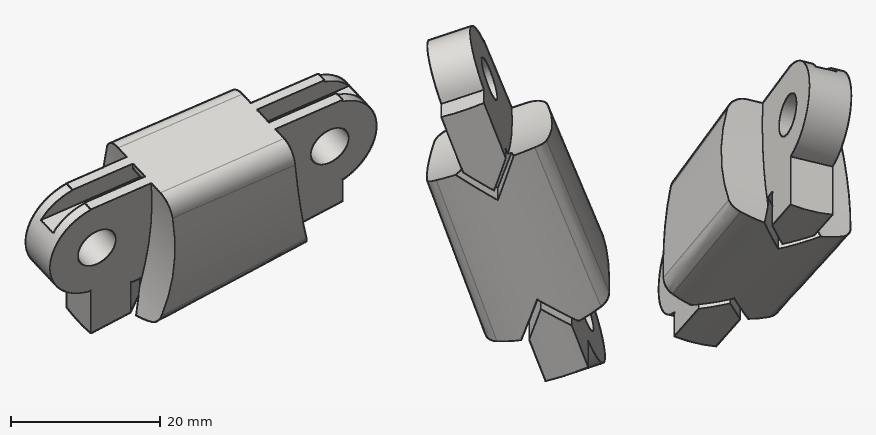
import cadquery as cq
import math

pivot_spacing = 37.0
ear_radius = 7.475
pivot_hole_diameter = 6.0
plate_width = 6.1
block_front_y = -19.45
block_back_y = 20.58
top_z = ear_radius

underside_angle = 5.9
crown_radius = 18.0
front_bottom_z = top_z - 22.97

waist_length = 19.5
top_corner_half_width = 7.6
side_arc_radius = 46.0
section_y = 15.0
front_half_width = 9.355
back_half_width = 8.82
top_edge_fillet = 3.0
bottom_edge_fillet = 2.5
flare_radius = 54.0
waist_z = 4.0

slot_width = 3.0
slot_depth = 3.0
slot_cover = 0.93

groove_roof_z = -9.1
groove_angle = 50.5
groove_span_y = 1.45
groove_half_width = 7.5
groove_front_y = -13.15
groove_back_y = 12.2

underside_reach_z = front_bottom_z - 3.0
trim_half_length = 50.0


def box_between(x_range, y_range, z_range):
    """Axis-aligned box given by its limits on each axis."""
    size = [high - low for low, high in (x_range, y_range, z_range)]
    corner = (x_range[0], y_range[0], z_range[0])
    return cq.Workplane("XY").box(*size, centered=False).translate(corner)


def underside_envelope():
    """Tilted cylinder whose lowest line is the crown of the underside."""
    tilt = math.radians(underside_angle)
    axis_z = front_bottom_z + crown_radius / math.cos(tilt)
    origin = (0, block_front_y, axis_z)
    along = (0, math.cos(tilt), math.sin(tilt))
    axis_plane = cq.Plane(origin=origin, xDir=(1, 0, 0), normal=along)
    return cq.Workplane(axis_plane).circle(crown_radius).extrude(trim_half_length, both=True)


def link_plate():
    """Straight block with a round ear at each pivot."""
    half = plate_width / 2
    plate = box_between((-half, half), (block_front_y, block_back_y), (underside_reach_z, top_z))
    plate = plate.intersect(underside_envelope())
    bridge = box_between((-half, half), (-pivot_spacing / 2, pivot_spacing / 2), (0, top_z))
    ears = (
        cq.Workplane("YZ")
        .pushPoints([(-pivot_spacing / 2, 0), (pivot_spacing / 2, 0)])
        .circle(ear_radius)
        .extrude(half, both=True)
    )
    return plate.union(bridge).union(ears)


def housing_section(y, half_width):
    """Cross-section wire with a flat top and bulging sides."""
    rise = math.sqrt(side_arc_radius**2 - (side_arc_radius - half_width + top_corner_half_width) ** 2)
    widest_z = top_z - rise
    drop = widest_z - underside_reach_z
    bottom_half_width = half_width - side_arc_radius + math.sqrt(side_arc_radius**2 - drop**2)
    section = (
        cq.Workplane(cq.Plane(origin=(0, y, 0), xDir=(1, 0, 0), normal=(0, -1, 0)))
        .moveTo(-top_corner_half_width, top_z)
        .lineTo(top_corner_half_width, top_z)
        .threePointArc((half_width, widest_z), (bottom_half_width, underside_reach_z))
        .lineTo(-bottom_half_width, underside_reach_z)
        .threePointArc((-half_width, widest_z), (-top_corner_half_width, top_z))
        .close()
    )
    return section.val()


def flare_half_length(z):
    """Half length of the housing at height z, on the end arc."""
    spread = flare_radius - math.sqrt(flare_radius**2 - (z - waist_z) ** 2)
    return waist_length / 2 + spread


def flare_profile():
    """Side outline of the housing: ends follow a shallow arc and spread toward the bottom."""
    top_half = flare_half_length(top_z)
    waist_half = flare_half_length(waist_z)
    bottom_half = flare_half_length(underside_reach_z)
    return (
        cq.Workplane("YZ")
        .moveTo(-top_half, top_z)
        .lineTo(top_half, top_z)
        .threePointArc((waist_half, waist_z), (bottom_half, underside_reach_z))
        .lineTo(-bottom_half, underside_reach_z)
        .threePointArc((-waist_half, waist_z), (-top_half, top_z))
        .close()
        .extrude(trim_half_length, both=True)
    )


def housing():
    """Tapered, rounded housing trimmed to its flared end outline."""
    front = housing_section(-section_y, front_half_width)
    back = housing_section(section_y, back_half_width)
    blank = cq.Workplane(cq.Solid.makeLoft([front, back], True))
    blank = blank.intersect(underside_envelope())
    blank = blank.faces(">Z").edges("not(<Y or >Y)").fillet(top_edge_fillet)
    blank = blank.faces("<Z").edges("not(<Y or >Y)").fillet(bottom_edge_fillet)
    return blank.intersect(flare_profile())


def lengthwise_slot():
    """Slot open on top of both ears and tunnelling under the top of the housing."""
    half = slot_width / 2
    ear_end = pivot_spacing / 2 + ear_radius
    floor_z = top_z - slot_depth
    cover_end = flare_half_length(top_z)
    slot = box_between((-half, half), (-ear_end, ear_end), (floor_z, top_z))
    cover = box_between(
        (-half, half),
        (-cover_end, cover_end),
        (top_z - slot_cover, top_z),
    )
    return slot.cut(cover)


def chevron_groove(mouth_y, inward):
    """V-shaped groove: its outer wall meets the plate side at mouth_y, its apex points inward."""
    reach = groove_half_width
    slope = math.tan(math.radians(groove_angle))
    outer_apex_y = mouth_y + inward * slope * plate_width / 2
    inner_apex_y = outer_apex_y + inward * groove_span_y
    fall = inward * slope * reach
    return (
        cq.Workplane("XY", origin=(0, 0, groove_roof_z))
        .polyline(
            [
                (-reach, outer_apex_y - fall),
                (0, outer_apex_y),
                (reach, outer_apex_y - fall),
                (reach, inner_apex_y - fall),
                (0, inner_apex_y),
                (-reach, inner_apex_y - fall),
            ]
        )
        .close()
        .extrude(underside_reach_z - groove_roof_z)
    )


def pivot_holes():
    """Cross holes through both ears."""
    return (
        cq.Workplane("YZ")
        .pushPoints([(-pivot_spacing / 2, 0), (pivot_spacing / 2, 0)])
        .circle(pivot_hole_diameter / 2)
        .extrude(plate_width, both=True)
    )


result = (
    link_plate()
    .union(housing())
    .cut(lengthwise_slot())
    .cut(pivot_holes())
    .cut(chevron_groove(groove_front_y, 1))
    .cut(chevron_groove(groove_back_y, -1))
    .solids()
)